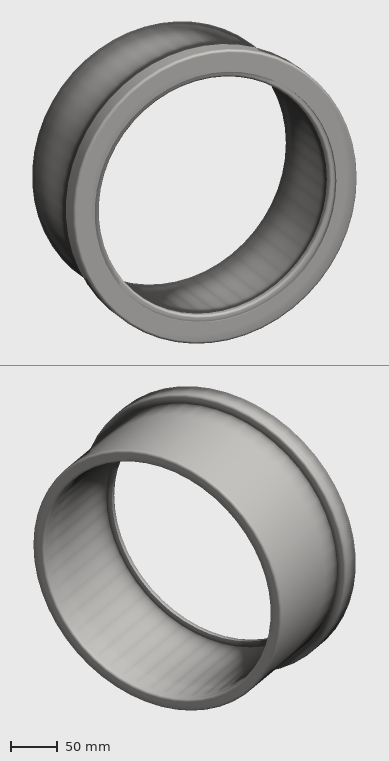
import cadquery as cq

length = 142.0
flange_diameter = 329.0
flange_width = 23.7
sleeve_diameter = 308.0
bore_diameter = 280.0

lip_diameter = 266.0
lip_width = 7.0
lip_recess = 3.0

edge_radius = 3.0

x_min = -length / 2
x_max = length / 2
lip_end = x_max - lip_recess
lip_start = lip_end - lip_width


def cylinder_along_x(diameter, start, end):
    """Solid cylinder on the X axis between two X positions."""
    return cq.Workplane("YZ", origin=(start, 0, 0)).circle(diameter / 2).extrude(end - start)


def rounded_flange():
    """Flange disc with both outer rims rounded."""
    flange = cylinder_along_x(flange_diameter, x_max - flange_width, x_max)
    return flange.edges().fillet(edge_radius)


def rounded_sleeve():
    """Sleeve with its free outer rim and bore mouth rounded."""
    sleeve = cylinder_along_x(sleeve_diameter, x_min, x_max)
    bore = cylinder_along_x(bore_diameter, x_min, x_max)
    return sleeve.cut(bore).faces("<X").edges().fillet(edge_radius)


def rounded_lip():
    """Lip set in from the flange face, with its opening rounded on that side."""
    lip = cylinder_along_x(bore_diameter, lip_start, lip_end)
    lip = lip.cut(cylinder_along_x(lip_diameter, lip_start, lip_end))
    opening_edge = lip.faces(">X").edges(cq.selectors.RadiusNthSelector(0))
    return opening_edge.fillet(edge_radius)


flange_bore = cylinder_along_x(bore_diameter, x_max - flange_width, x_max)

result = rounded_flange().cut(flange_bore).union(rounded_sleeve()).union(rounded_lip())